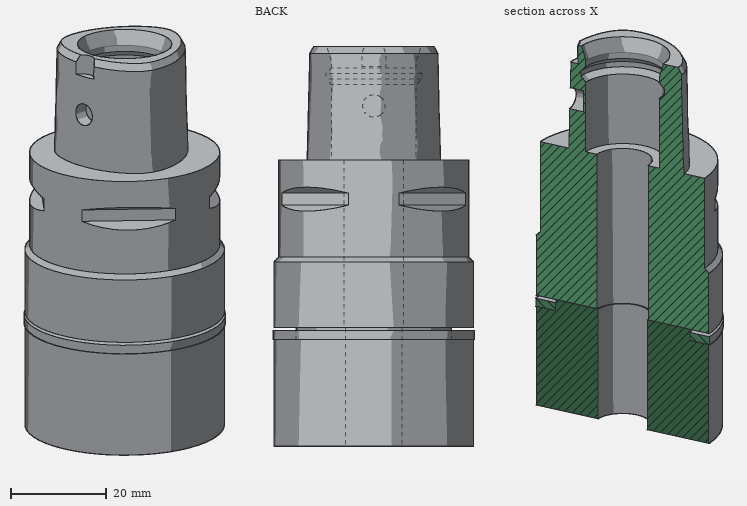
import cadquery as cq
import math

total_height = 84.0
nose_shoulder = 22.4
ring_thickness = 1.9
gap = 0.6
sleeve_top = 39.7
flange_top = 60.15
ring_top = nose_shoulder + ring_thickness
shank_bottom = ring_top + gap

body_radius = 21.0
ring_radius = 21.2
neck_radius = 16.3
flange_radius = 20.0
sleeve_chamfer = body_radius - flange_radius

polygon_base_radius = 14.0
polygon_eccentricity = 0.9
taper_per_height = 1 / 40
polygon_points = 48
tip_chamfer_height = 1.5
tip_chamfer_width = 0.8

bore_radius = 8.9
bore_mouth_radius = 9.9
bore_mouth_depth = 3.2
relief_radius = 10.1
relief_start_depth = 4.5
relief_end_depth = 8.1
relief_step = relief_radius - bore_radius
shank_hole_radius = 6.2
nose_hole_radius = 6.0

keyway_radius = 2.8
keyway_center_y = -13.6
keyway_depth = 4.2
coding_hole_radius = 2.35
coding_hole_drop = 12.5
coding_hole_floor_y = -9.5

groove_count = 4
groove_height = 51.9
groove_floor_distance = 17.4
groove_floor_width = 2.5
groove_mouth_width = 5.0


def revolved(profile):
    """Turn a closed (radius, height) outline around the Z axis."""
    return cq.Workplane("XZ").polyline(profile).close().revolve(360, (0, 0), (0, 1))


def polygon_wire(radius, height):
    """Three-lobed curve of constant width, one lobe pointing to +Y."""
    points = []
    for i in range(polygon_points):
        angle = 2 * math.pi * i / polygon_points
        lobe_angle = 3 * (angle - math.pi / 2)
        reach = radius + polygon_eccentricity * math.cos(lobe_angle)
        slope = -3 * polygon_eccentricity * math.sin(lobe_angle)
        x = reach * math.cos(angle) - slope * math.sin(angle)
        y = reach * math.sin(angle) + slope * math.cos(angle)
        points.append(cq.Vector(x, y, height))
    return cq.Wire.assembleEdges([cq.Edge.makeSpline(points, periodic=True)])


def make_polygon_shank():
    chamfer_start = total_height - tip_chamfer_height
    rim_radius = polygon_base_radius - taper_per_height * (chamfer_start - flange_top)
    tip_radius = rim_radius - tip_chamfer_width
    base = polygon_wire(polygon_base_radius, flange_top)
    rim = polygon_wire(rim_radius, chamfer_start)
    tip = polygon_wire(tip_radius, total_height)
    taper = cq.Workplane(cq.Solid.makeLoft([base, rim], True))
    chamfer = cq.Workplane(cq.Solid.makeLoft([rim, tip], True))
    return taper.union(chamfer)


def make_flange_and_sleeve():
    return revolved([
        (0, shank_bottom),
        (body_radius, shank_bottom),
        (body_radius, sleeve_top - sleeve_chamfer),
        (flange_radius, sleeve_top),
        (flange_radius, flange_top),
        (0, flange_top),
    ])


def make_shank_bore():
    """Conical mouth, 45 degree relief groove, counterbore and through hole."""
    return revolved([
        (0, shank_bottom),
        (shank_hole_radius, shank_bottom),
        (shank_hole_radius, flange_top),
        (bore_radius, flange_top),
        (bore_radius, total_height - relief_end_depth),
        (relief_radius, total_height - relief_end_depth + relief_step),
        (relief_radius, total_height - relief_start_depth - relief_step),
        (bore_radius, total_height - relief_start_depth),
        (bore_radius, total_height - bore_mouth_depth),
        (bore_mouth_radius, total_height),
        (0, total_height),
    ])


def make_keyway():
    return (
        cq.Workplane("XY", origin=(0, keyway_center_y, total_height - keyway_depth))
        .circle(keyway_radius)
        .extrude(keyway_depth)
    )


def make_coding_hole():
    return (
        cq.Workplane("XZ", origin=(0, coding_hole_floor_y, total_height - coding_hole_drop))
        .circle(coding_hole_radius)
        .extrude(polygon_base_radius + coding_hole_floor_y)
    )


def make_gripper_groove(angle):
    """Straight groove with a flat floor, reaching its mouth width at the flange radius."""
    floor_half = groove_floor_width / 2
    mouth_half = groove_mouth_width / 2
    return (
        cq.Workplane("XZ")
        .polyline([
            (groove_floor_distance, groove_height - floor_half),
            (flange_radius, groove_height - mouth_half),
            (flange_radius, groove_height + mouth_half),
            (groove_floor_distance, groove_height + floor_half),
        ])
        .close()
        .extrude(flange_radius, both=True)
        .rotate((0, 0, 0), (0, 0, 1), angle)
    )


def make_shank():
    body = make_flange_and_sleeve().union(make_polygon_shank())
    body = body.cut(make_shank_bore()).cut(make_keyway()).cut(make_coding_hole())
    for i in range(groove_count):
        body = body.cut(make_gripper_groove(45 + i * 360 / groove_count))
    return body


def make_ring():
    """Flat ring on the nose shoulder, around the neck."""
    return (
        cq.Workplane("XY", origin=(0, 0, nose_shoulder))
        .circle(ring_radius)
        .circle(neck_radius)
        .extrude(ring_thickness)
    )


def make_nose():
    """Lower body with a neck that passes through the ring up to the shank."""
    return revolved([
        (nose_hole_radius, 0),
        (body_radius, 0),
        (body_radius, nose_shoulder),
        (neck_radius, nose_shoulder),
        (neck_radius, shank_bottom),
        (nose_hole_radius, shank_bottom),
    ])


shank = make_shank()
ring = make_ring()
nose = make_nose()

result = cq.Compound.makeCompound([shank.val(), ring.val(), nose.val()])